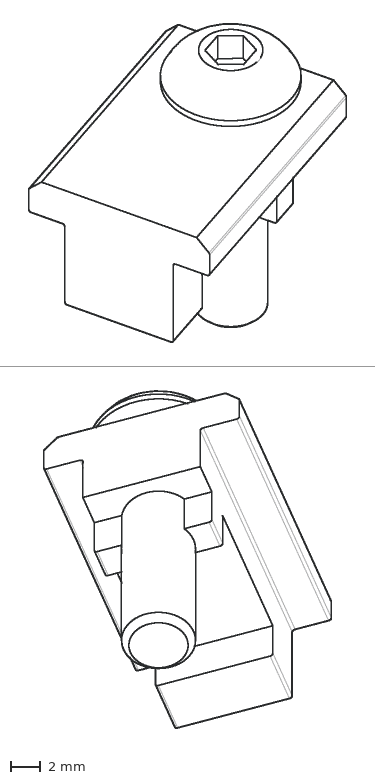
import cadquery as cq
import math


block_width = 14.0
block_length = 19.0
block_height = 10.0
flange_height = 3.0
top_chamfer = 1.0
stem_width = 8.4
edge_radius = 0.2
screw_to_back = 3.5
back_y = screw_to_back
front_y = back_y - block_length

underside_depth = 6.95
front_foot_length = 4.0
tab_length = 2.25

total_height = 22.75
head_diameter = 9.5
head_height = 2.75
rim_height = 0.5
crown_diameter = 4.35
dome_radius = 3.65
shank_diameter = 5.0
shank_length = total_height - head_height
tip_chamfer = 0.5
hex_across_flats = 3.0
hex_depth = 2.0


def make_t_bar():
    """Extrude the T profile along Y, with chamfered top and lightly rounded edges."""
    half_width = block_width / 2
    half_stem = stem_width / 2
    right_side = [
        (half_width - top_chamfer, 0),
        (half_width, -top_chamfer),
        (half_width, -flange_height),
        (half_stem, -flange_height),
        (half_stem, -block_height),
    ]
    left_side = [(-x, z) for x, z in reversed(right_side)]
    bar = (
        cq.Workplane("XZ", origin=(0, back_y, 0))
        .polyline(right_side + left_side)
        .close()
        .extrude(block_length)
    )
    return bar.edges("|Y").edges("not >Z").fillet(edge_radius)


def underside_gap(start_y, end_y):
    """Cutter that raises the underside of the block between two Y positions."""
    gap_height = block_height - underside_depth
    return (
        cq.Workplane("XY", origin=(0, (start_y + end_y) / 2, -block_height))
        .box(stem_width, end_y - start_y, gap_height, centered=(True, True, False))
    )


def make_block():
    """T bar with a front foot, a tab across the screw axis and a through hole for the screw."""
    gap_limits = [
        (front_y + front_foot_length, -tab_length / 2),
        (tab_length / 2, back_y),
    ]
    block = make_t_bar()
    for start_y, end_y in gap_limits:
        block = block.cut(underside_gap(start_y, end_y))
    screw_hole = cq.Workplane("XY").circle(shank_diameter / 2).extrude(-block_height)
    return block.cut(screw_hole)


def make_screw():
    """Revolved screw with a domed head, a chamfered tip and a hexagonal socket."""
    head_radius = head_diameter / 2
    crown_radius = crown_diameter / 2
    shank_radius = shank_diameter / 2

    chord_run = head_radius - crown_radius
    chord_rise = head_height - rim_height
    chord = math.hypot(chord_run, chord_rise)
    sagitta = dome_radius - math.sqrt(dome_radius**2 - (chord / 2) ** 2)
    dome_middle_radius = (head_radius + crown_radius) / 2 + sagitta * chord_rise / chord
    dome_middle_z = (rim_height + head_height) / 2 + sagitta * chord_run / chord

    screw = (
        cq.Workplane("XZ")
        .moveTo(0, -shank_length)
        .lineTo(shank_radius - tip_chamfer, -shank_length)
        .lineTo(shank_radius, -shank_length + tip_chamfer)
        .lineTo(shank_radius, 0)
        .lineTo(head_radius, 0)
        .lineTo(head_radius, rim_height)
        .threePointArc((dome_middle_radius, dome_middle_z), (crown_radius, head_height))
        .lineTo(0, head_height)
        .close()
        .revolve(360, (0, 0, 0), (0, 1, 0))
    )

    hex_across_corners = hex_across_flats / math.cos(math.pi / 6)
    socket = (
        cq.Workplane("XY", origin=(0, 0, head_height))
        .transformed(rotate=(0, 0, 90))
        .polygon(6, hex_across_corners)
        .extrude(-hex_depth)
    )
    return screw.cut(socket)


block = make_block()
screw = make_screw()

result = cq.Compound.makeCompound([block.val(), screw.val()])